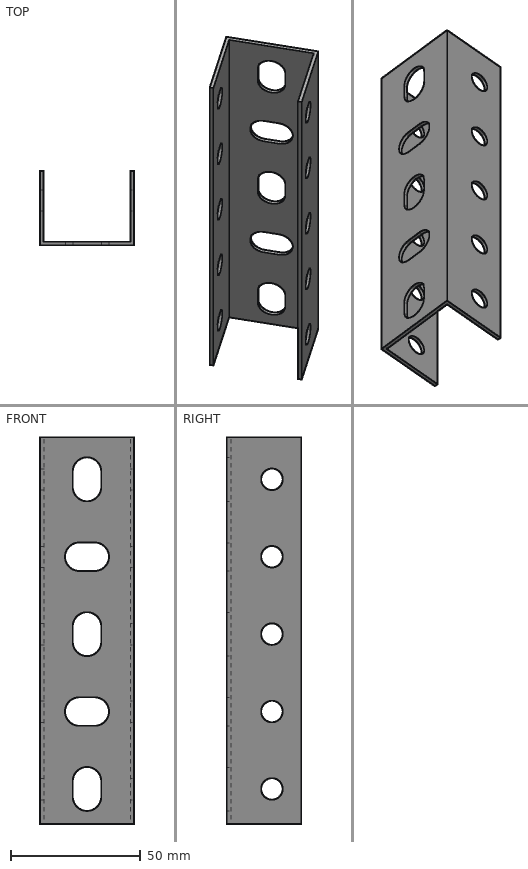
import cadquery as cq

length = 150.0
width = 36.6
depth = 29.0
thickness = 1.5

hole_count = 5
pitch = 30.0
first_hole_height = 13.6
hole_heights = [first_hole_height + i * pitch for i in range(hole_count)]

slot_length = 17.0
slot_width = 11.0
flange_hole_diameter = 8.2
flange_hole_setback = 17.5


def make_channel():
    """Square-cornered channel, centred on X, with its web face at Y = 0."""
    outer = cq.Workplane("XY").rect(width, depth).extrude(length)
    inner = cq.Workplane("XY").rect(width - 2 * thickness, depth).extrude(length)
    channel = outer.cut(inner.translate((0, thickness, 0)))
    return channel.translate((0, depth / 2, 0))


def make_web_slot(height, angle):
    """Round-ended slot through the web; angle 0 lies along X, 90 along Z."""
    return (
        cq.Workplane("XZ")
        .center(0, height)
        .slot2D(slot_length, slot_width, angle)
        .extrude(-thickness)
    )


def make_flange_hole(height):
    """Round hole passing through both flanges."""
    return (
        cq.Workplane("YZ")
        .center(flange_hole_setback, height)
        .circle(flange_hole_diameter / 2)
        .extrude(width / 2, both=True)
    )


result = make_channel()
for index, hole_height in enumerate(hole_heights):
    slot_angle = 90 if index % 2 == 0 else 0
    result = result.cut(make_web_slot(hole_height, slot_angle))
    result = result.cut(make_flange_hole(hole_height))